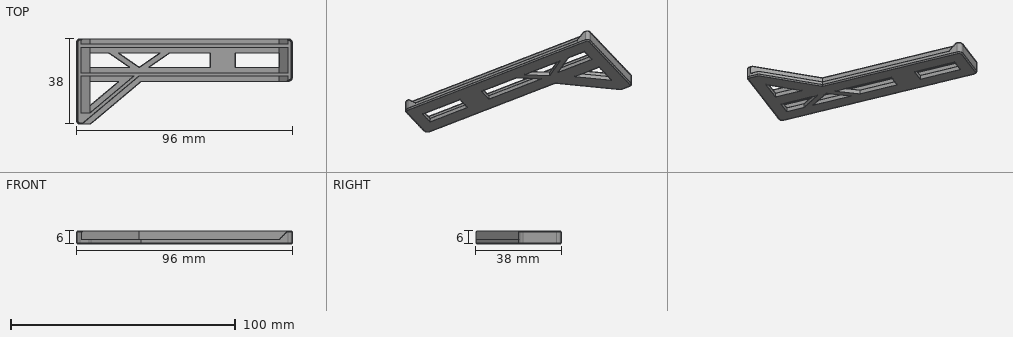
import cadquery as cq
import math

length = 96.0
end_width = 38.0
arm_width = 19.0
height = 6.0
floor_height = 2.0
edge_chamfer = 0.6
wide_end_radius = 1.5
arm_end_radius = 2.0
brace_foot_radius = 1.5

wall = 2.0
ramp_run = height - floor_height
ramp_toe = wall + ramp_run

rib = 1.4
rib_inset = 2.4

brace_foot = 6.0
brace_top = 28.7
brace_flange = 2.5

window_height = 6.3
truss_center = 27.8
truss_half_span = 9.2
truss_strut = 4.3
label_start = 59.4
label_end = 70.7

arm_bottom = end_width - arm_width
arm_center = end_width - arm_width / 2
window_bottom = arm_center - window_height / 2
window_top = arm_center + window_height / 2
lower_rib_edge = arm_bottom + rib_inset
upper_rib_edge = end_width - rib_inset
diagonal_inner = brace_flange + rib
brace_width = diagonal_inner + brace_flange
brace_slope = arm_bottom / (brace_top - brace_foot)
brace_stretch = math.hypot(1, brace_slope) / brace_slope


def brace_x(offset, y):
    """X at height y of the line lying `offset` inside the brace's outer edge."""
    return brace_foot + y / brace_slope - offset * brace_stretch


def brace_y(offset, x):
    """Y at position x of the line lying `offset` inside the brace's outer edge."""
    return (x - brace_foot + offset * brace_stretch) * brace_slope


def plate(points, bottom, top):
    """Flat solid with the given outline between two heights."""
    return cq.Workplane("XY").workplane(offset=bottom).polyline(points).close().extrude(top - bottom)


def bar(x_start, x_end, y_start, y_end, bottom, top):
    """Rectangular block between the given limits."""
    corners = [(x_start, y_start), (x_end, y_start), (x_end, y_end), (x_start, y_end)]
    return plate(corners, bottom, top)


def make_blank():
    """Full-height outline with rounded corners and chamfered rims."""
    outline = [
        (0, 0),
        (brace_foot, 0),
        (brace_top, arm_bottom),
        (length, arm_bottom),
        (length, end_width),
        (0, end_width),
    ]
    body = plate(outline, 0, height)
    body = body.edges("|Z and <X").fillet(wide_end_radius)
    body = body.edges("|Z and >X").fillet(arm_end_radius)
    foot_corner = cq.selectors.NearestToPointSelector((brace_foot, 0, height / 2))
    body = body.edges(foot_corner).fillet(brace_foot_radius)
    return body.faces("<Z or >Z").edges().chamfer(edge_chamfer)


def make_ribs():
    """Two long ribs, the diagonal rib and the solid corner at its foot."""
    ribs = bar(0, length, lower_rib_edge, lower_rib_edge + rib, 0, height)
    ribs = ribs.union(bar(0, length, upper_rib_edge - rib, upper_rib_edge, 0, height))
    diagonal = [
        (0, 0),
        (brace_x(brace_flange, 0), 0),
        (brace_x(brace_flange, lower_rib_edge), lower_rib_edge),
        (brace_x(diagonal_inner, lower_rib_edge), lower_rib_edge),
        (ramp_toe, brace_y(diagonal_inner, ramp_toe)),
        (0, brace_y(diagonal_inner, ramp_toe)),
    ]
    return ribs.union(plate(diagonal, 0, height))


def make_cavity():
    """Space above the floor, between the end ramps and around the ribs."""
    profile = [
        (ramp_toe, floor_height),
        (length - ramp_toe, floor_height),
        (length - wall, height),
        (wall, height),
    ]
    space = cq.Workplane("XZ").polyline(profile).close().extrude(-end_width)
    return space.cut(make_ribs()).union(make_flange_clearance())


def make_flange_clearance():
    """Space above the low flange outside the diagonal rib, open at the foot."""
    outline = [
        (brace_x(brace_flange, 0), 0),
        (brace_foot, 0),
        (brace_top, arm_bottom),
        (brace_x(brace_flange, lower_rib_edge), lower_rib_edge),
    ]
    return plate(outline, floor_height, height)


def make_windows():
    """Openings through the floor: truss, label bridge and brace triangle."""
    left_outer = truss_center - truss_strut
    right_outer = truss_center + truss_strut
    outlines = [
        [
            (ramp_toe, window_bottom),
            (left_outer, window_bottom),
            (left_outer - truss_half_span, window_top),
            (ramp_toe, window_top),
        ],
        [
            (truss_center, window_bottom),
            (truss_center + truss_half_span, window_top),
            (truss_center - truss_half_span, window_top),
        ],
        [
            (right_outer, window_bottom),
            (label_start, window_bottom),
            (label_start, window_top),
            (right_outer + truss_half_span, window_top),
        ],
        [
            (label_end, window_bottom),
            (length - ramp_toe, window_bottom),
            (length - ramp_toe, window_top),
            (label_end, window_top),
        ],
        [
            (ramp_toe, brace_y(brace_width, ramp_toe)),
            (brace_x(brace_width, arm_bottom), arm_bottom),
            (ramp_toe, arm_bottom),
        ],
    ]
    windows = cq.Workplane("XY")
    for outline in outlines:
        windows = windows.add(plate(outline, 0, floor_height))
    return windows.combine()


result = make_blank().cut(make_cavity()).cut(make_windows())